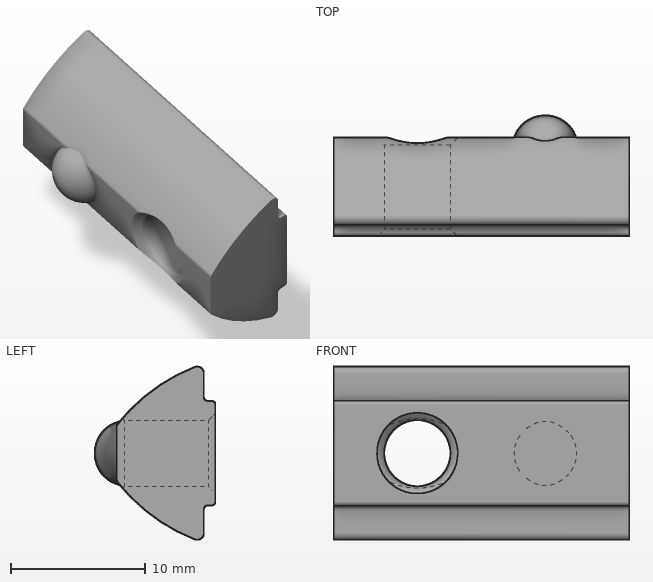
import cadquery as cq

length = 22.0

body_depth = 7.35
shoulder_depth = 0.85
neck_half_height = 3.9
back_half_height = 2.07
wing_corner_half_height = 6.67
flank_mid_depth = 3.63
flank_mid_half_height = 5.4
wing_radius = 0.5
neck_radius = 0.29
back_edge_radius = 0.4

hole_x = 6.23
hole_diameter = 4.9
countersink_diameter = 6.0
countersink_depth = (countersink_diameter - hole_diameter) / 2

ball_x = 15.73
ball_diameter = 4.9
ball_top = 9.0


def make_body():
    profile = (
        cq.Workplane("YZ")
        .moveTo(0, -neck_half_height)
        .lineTo(shoulder_depth, -neck_half_height)
        .lineTo(shoulder_depth, -wing_corner_half_height)
        .threePointArc((flank_mid_depth, -flank_mid_half_height), (body_depth, -back_half_height))
        .lineTo(body_depth, back_half_height)
        .threePointArc((flank_mid_depth, flank_mid_half_height), (shoulder_depth, wing_corner_half_height))
        .lineTo(shoulder_depth, neck_half_height)
        .lineTo(0, neck_half_height)
        .close()
    )
    return profile.extrude(length)


def round_edges(body, depth, half_height, radius):
    """Round the mirrored pair of lengthwise edges at the given depth and height."""
    for z in (-half_height, half_height):
        edge_point = (length / 2, depth, z)
        body = body.edges("|X").edges(cq.selectors.NearestToPointSelector(edge_point)).fillet(radius)
    return body


def make_countersink(face_y, inward):
    """Cone narrowing from a face into the part; inward is +1 or -1 along Y."""
    return cq.Workplane(obj=cq.Solid.makeCone(
        countersink_diameter / 2,
        hole_diameter / 2,
        countersink_depth,
        pnt=cq.Vector(hole_x, face_y, 0),
        dir=cq.Vector(0, inward, 0),
    ))


def make_hole():
    bore = cq.Workplane("XZ").center(hole_x, 0).circle(hole_diameter / 2).extrude(-body_depth)
    return bore.union(make_countersink(0, 1)).union(make_countersink(body_depth, -1))


def make_ball():
    center_y = ball_top - ball_diameter / 2
    return cq.Workplane("XZ").sphere(ball_diameter / 2).translate((ball_x, center_y, 0))


body = make_body()
body = round_edges(body, shoulder_depth, wing_corner_half_height, wing_radius)
body = round_edges(body, shoulder_depth, neck_half_height, neck_radius)
body = round_edges(body, 0, neck_half_height, neck_radius)
body = round_edges(body, body_depth, back_half_height, back_edge_radius)

result = body.cut(make_hole()).union(make_ball())